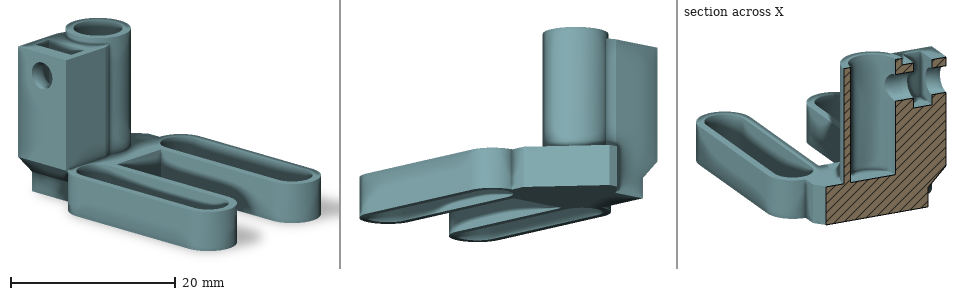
import cadquery as cq

length = 35.55
width = 22.0
height = 20.0
plate_thickness = 5.0
mid_y = width / 2

loop_width = 7.0
loop_length = 25.55
loop_wall = 1.0
loop_radius = loop_width / 2
loop_center_x = length - loop_length / 2
lower_loop_y = loop_radius
upper_loop_y = width - loop_radius

plate_right = length - loop_length + loop_radius
shoulder_x = 8.0
tip_flat = 1.25

tube_x = 6.72
tube_diameter = 8.0
bore_diameter = 6.0

block_front = 1.0
block_back = 8.0
block_top = 19.15
block_left = tube_x - tube_diameter / 2
block_right = tube_x + tube_diameter / 2
gusset_depth = 1.25
gusset_inset = 0.4
support_drop = lower_loop_y - block_front

pocket_length = 6.0
pocket_width = 2.5
pocket_front = 3.0
screw_diameter = 3.4
screw_z = 16.28
pocket_floor = screw_z - pocket_length / 2


def make_plate():
    outline = [
        (0, mid_y - tip_flat / 2),
        (0, mid_y + tip_flat / 2),
        (shoulder_x, upper_loop_y),
        (plate_right, upper_loop_y),
        (plate_right, lower_loop_y),
        (shoulder_x, lower_loop_y),
    ]
    return cq.Workplane("XY").polyline(outline).close().extrude(plate_thickness)


def make_slot(inset):
    """Both loop outlines as solids, shrunk by the given inset."""
    return (
        cq.Workplane("XY")
        .pushPoints([(loop_center_x, lower_loop_y), (loop_center_x, upper_loop_y)])
        .slot2D(loop_length - 2 * inset, loop_width - 2 * inset)
        .extrude(plate_thickness)
    )


def make_block():
    """Block with a sloped underside, standing on a narrower foot."""
    profile = [
        (lower_loop_y, 0),
        (lower_loop_y, plate_thickness - support_drop),
        (block_front, plate_thickness),
        (block_front, block_top),
        (block_back, block_top),
        (block_back, 0),
    ]
    return (
        cq.Workplane("YZ", origin=(block_left, 0, 0))
        .polyline(profile)
        .close()
        .extrude(block_right - block_left)
    )


def make_gusset():
    """Tapered neck blending the block into the tube."""
    outline = [
        (block_left, block_back),
        (block_right, block_back),
        (block_right - gusset_inset, block_back + gusset_depth),
        (block_left + gusset_inset, block_back + gusset_depth),
    ]
    return cq.Workplane("XY").polyline(outline).close().extrude(block_top)


def make_cylinder(diameter, bottom):
    return (
        cq.Workplane("XY", origin=(tube_x, mid_y, bottom))
        .circle(diameter / 2)
        .extrude(height - bottom)
    )


def make_pocket():
    return (
        cq.Workplane("XY", origin=(tube_x, pocket_front + pocket_width / 2, pocket_floor))
        .rect(pocket_length, pocket_width)
        .extrude(block_top - pocket_floor)
    )


def make_screw_hole():
    """Hole from the block's front face into the tube bore."""
    return (
        cq.Workplane("XZ", origin=(tube_x, mid_y, screw_z))
        .circle(screw_diameter / 2)
        .extrude(mid_y)
    )


base = make_plate().union(make_slot(0)).cut(make_slot(loop_wall))

result = (
    base.union(make_block())
    .union(make_gusset())
    .union(make_cylinder(tube_diameter, 0))
    .cut(make_cylinder(bore_diameter, plate_thickness))
    .cut(make_pocket())
    .cut(make_screw_hole())
)